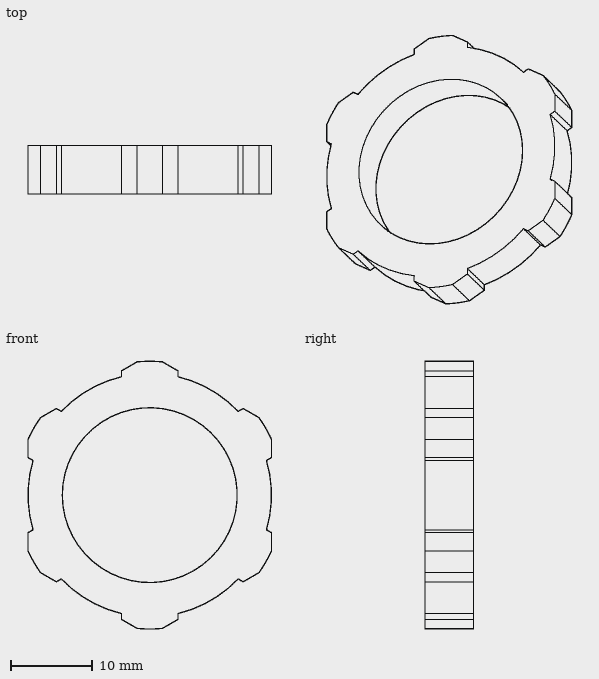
import cadquery as cq
import math

thickness = 6.0
bore_diameter = 21.5
body_diameter = 30.0
hex_across_flats = 30.0
lug_tip_diameter = 33.0
lug_width = 7.0
lug_count = 6

front_y = -thickness / 2


def front_plane():
    """Sketch plane on the front face, extruding toward +Y, with Z up."""
    return cq.Workplane(cq.Plane(origin=(0, front_y, 0), xDir=(-1, 0, 0), normal=(0, 1, 0)))


def disc(diameter):
    """Round disc over the full thickness."""
    return front_plane().circle(diameter / 2).extrude(thickness)


def hexagon():
    """Hexagonal prism with corners pointing along +Z and -Z."""
    corner_diameter = hex_across_flats / math.cos(math.pi / lug_count)
    turned_plane = front_plane().transformed(rotate=(0, 0, 90))
    return turned_plane.polygon(lug_count, corner_diameter).extrude(thickness)


def lug_bars():
    """Parallel-sided bars across the axis, each carrying two opposite lugs."""
    bars = cq.Workplane("XY")
    for index in range(lug_count // 2):
        bar = cq.Workplane("XY").box(lug_width, thickness, lug_tip_diameter)
        angle = index * 360 / lug_count
        bars = bars.union(bar.rotate((0, 0, 0), (0, 1, 0), angle))
    return bars


lugs = lug_bars().intersect(hexagon()).intersect(disc(lug_tip_diameter))
result = disc(body_diameter).union(lugs).cut(disc(bore_diameter))